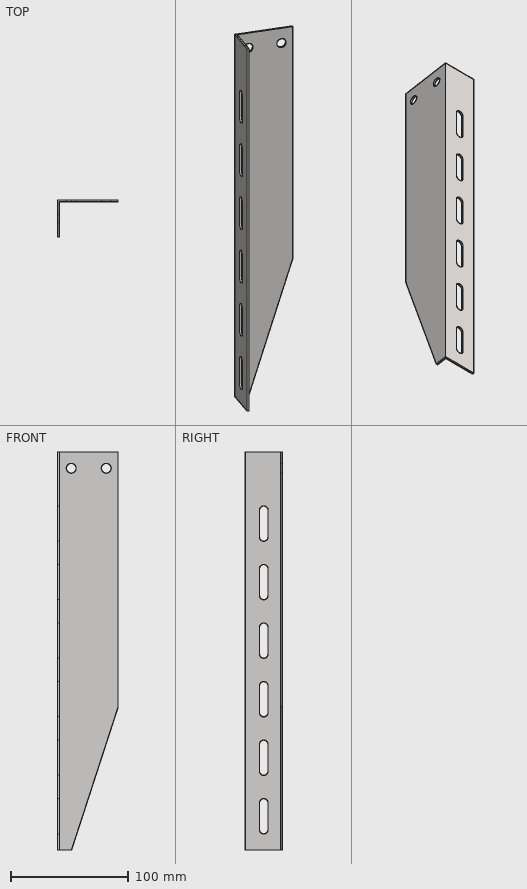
import cadquery as cq

length = 340.0
plate_width = 52.0
flange_width = 32.0
thickness = 1.7

taper_height = 122.0
tip_width = 12.2

hole_diameter = 8.0
hole_spacing = 30.0
first_hole_x = 12.0
hole_top_distance = 14.0

slot_count = 6
slot_pitch = 50.0
slot_length = 30.0
slot_width = 7.0
top_slot_distance = 61.2



def make_plate():
    """Back plate in the XZ plane, tapered towards its lower end."""
    outline = [
        (0, 0),
        (tip_width, 0),
        (plate_width, taper_height),
        (plate_width, length),
        (0, length),
    ]
    plate = cq.Workplane("XZ").polyline(outline).close().extrude(thickness)
    hole_z = length - hole_top_distance
    hole_centers = [(first_hole_x + i * hole_spacing, hole_z) for i in range(2)]
    holes = (
        cq.Workplane("XZ")
        .pushPoints(hole_centers)
        .circle(hole_diameter / 2)
        .extrude(thickness)
    )
    return plate.cut(holes)


def make_flange():
    """Side flange in the YZ plane, with a row of slots along its middle."""
    flange = cq.Workplane("XY").box(thickness, flange_width, length, centered=False)
    flange = flange.translate((0, -flange_width, 0))
    top_slot_z = length - top_slot_distance
    slot_centers = [(-flange_width / 2, top_slot_z - i * slot_pitch) for i in range(slot_count)]
    slots = (
        cq.Workplane("YZ")
        .pushPoints(slot_centers)
        .slot2D(slot_length, slot_width, 90)
        .extrude(thickness)
    )
    return flange.cut(slots)


result = make_plate().union(make_flange())